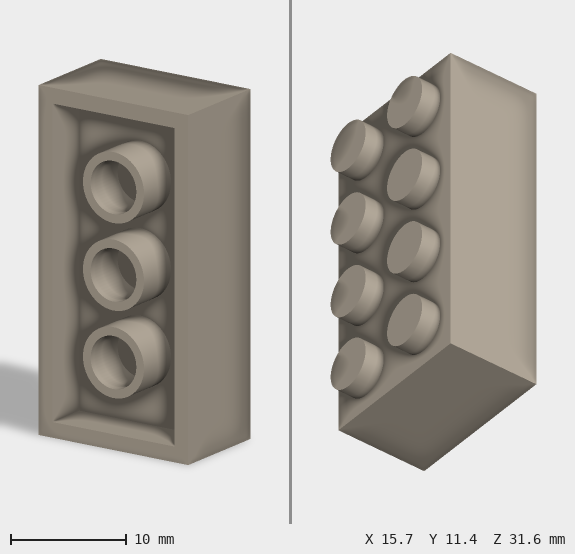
import cadquery as cq

pitch = 7.9
columns = 2
rows = 4
width = 15.7
height = rows * pitch
total_depth = 11.4
stud_height = 2.0
wall = 1.42
pocket_depth = 4.1
stud_diameter = 4.9
tube_outer_diameter = 6.4
tube_inner_diameter = 4.8

body_depth = total_depth - stud_height
open_face_y = -total_depth / 2
stud_base_y = open_face_y + body_depth
floor_y = open_face_y + pocket_depth


def plane_at(y):
    """Workplane at the given Y whose extrusions run toward +Y."""
    return cq.Workplane(cq.Plane(origin=(0, y, 0), xDir=(1, 0, 0), normal=(0, 1, 0)))


def make_shell():
    """Rectangular body with a shallow pocket in its open face."""
    body = plane_at(open_face_y).rect(width, height).extrude(body_depth)
    pocket = plane_at(open_face_y).rect(width - 2 * wall, height - 2 * wall).extrude(pocket_depth)
    return body.cut(pocket)


def make_tubes():
    """Row of tubes standing on the pocket floor, flush with the open face."""
    return (
        plane_at(floor_y)
        .rarray(pitch, pitch, columns - 1, rows - 1)
        .circle(tube_outer_diameter / 2)
        .circle(tube_inner_diameter / 2)
        .extrude(-pocket_depth)
    )


def make_studs():
    """Grid of round studs on the +Y face."""
    return (
        plane_at(stud_base_y)
        .rarray(pitch, pitch, columns, rows)
        .circle(stud_diameter / 2)
        .extrude(stud_height)
    )


result = make_shell().union(make_tubes()).union(make_studs())